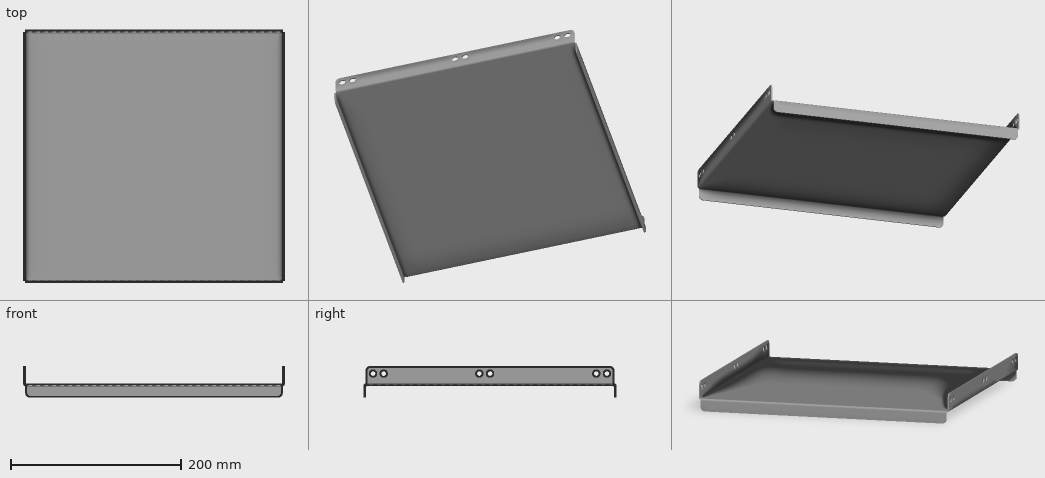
import cadquery as cq

overall_length = 306.0
overall_depth = 296.0
sheet = 1.5
inner_bend_radius = 1.0
flange_height = 22.0
lip_height = 15.0
corner_radius = 5.0

hole_diameter = 7.4
hole_drop = 8.0
hole_pair_pitch = 12.5
hole_group_offset = 125.0

outer_bend_radius = inner_bend_radius + sheet
panel_length = overall_length - 2 * outer_bend_radius
panel_depth = overall_depth - 2 * outer_bend_radius
hole_positions = [
    -hole_group_offset - hole_pair_pitch,
    -hole_group_offset,
    -hole_pair_pitch,
    0,
    hole_group_offset,
    hole_group_offset + hole_pair_pitch,
]


def make_folded_edge(bend_start, height, width):
    """Sheet bent upward at local x = bend_start, with its underside on z = 0.

    The bend and wall run along local y and are centred on it.
    """
    outer_face = bend_start + outer_bend_radius
    inner_face = outer_face - sheet
    bend_centre = (bend_start, outer_bend_radius)
    edge = (
        cq.Workplane("XZ")
        .moveTo(bend_start, 0)
        .radiusArc((outer_face, bend_centre[1]), -outer_bend_radius)
        .lineTo(outer_face, height)
        .lineTo(inner_face, height)
        .lineTo(inner_face, bend_centre[1])
        .radiusArc((bend_start, sheet), inner_bend_radius)
        .close()
        .extrude(width / 2, both=True)
    )
    return edge.edges("|X and >Z").edges("<Y or >Y").fillet(corner_radius)


def make_panel():
    """Flat floor of the tray, with its underside on z = 0."""
    return cq.Workplane("XY").box(panel_length, panel_depth, sheet, centered=(True, True, False))


def make_side_flange():
    """Upturned flange on the +X side."""
    return make_folded_edge(panel_length / 2, flange_height, panel_depth)


def make_lip():
    """Downturned lip on the +Y side: an upward fold turned over about the panel's mid-plane."""
    upward = make_folded_edge(panel_depth / 2, lip_height, panel_length)
    downward = upward.mirror("XY").translate((0, 0, sheet))
    return downward.rotate((0, 0, 0), (0, 0, 1), 90)


def make_flange_holes():
    """Cutters that pass through both side flanges."""
    hole_height = flange_height - hole_drop
    return (
        cq.Workplane("YZ")
        .pushPoints([(y, hole_height) for y in hole_positions])
        .circle(hole_diameter / 2)
        .extrude(overall_length, both=True)
    )


side_flange = make_side_flange()
lip = make_lip()

result = (
    make_panel()
    .union(side_flange)
    .union(side_flange.mirror("YZ"))
    .union(lip)
    .union(lip.mirror("XZ"))
    .cut(make_flange_holes())
)